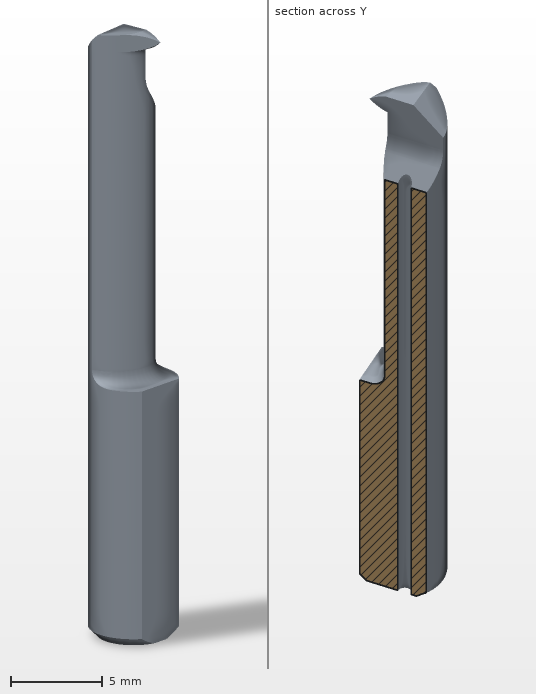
import math
import cadquery as cq

total_length = 35.0
shank_radius = 2.5
flat_x = 1.95
end_chamfer = 0.5

neck_radius = 2.3
neck_right_x = 0.87
neck_axis_x = neck_right_x - neck_radius
shoulder_z = 14.75
shoulder_fillet = 0.8

tip_height = 1.13
tip_bottom_z = total_length - tip_height
tip_x = flat_x
tip_depth = 0.53
tip_z = total_length - tip_depth
tip_radius = tip_x - neck_axis_x
land_overhang = 0.06
land_radius = neck_radius + land_overhang
flank_arc_radius = 2.5
relief_angle = 3.0

slope_start_x = -0.7
slope_drop = 1.73

rake_y = 0.0
runout_angle = math.radians(50)
runout_fillet = 1.6
runout_corner_z = 31.75

coolant_x = -0.78
coolant_y = 1.33
coolant_diameter = 0.8

clearance = 10.0


def make_shank():
    shank = cq.Workplane("XY").circle(shank_radius).extrude(total_length)
    shank = shank.faces("<Z").chamfer(end_chamfer)
    flat = cq.Workplane("XY").box(clearance, clearance, total_length, centered=(False, True, False))
    return shank.cut(flat.translate((flat_x, 0, 0)))


def flank_middle(start, end):
    """Point halfway along the bulging flank of the tip, from start to the sharp tip at end."""
    run = end[0] - start[0]
    rise = end[1] - start[1]
    chord = math.hypot(run, rise)
    bulge = flank_arc_radius - math.sqrt(flank_arc_radius**2 - chord**2 / 4)
    outward = -math.copysign(1, rise)
    return (
        (start[0] + end[0]) / 2 + bulge * abs(rise) / chord,
        (start[1] + end[1]) / 2 + outward * bulge * run / chord,
    )


def make_neck_envelope():
    """Full-width bar up to the shoulder, then the filleted neck turned around its own axis."""
    fillet_sag = shoulder_fillet * (1 - math.sqrt(0.5))
    profile = (
        cq.Workplane("XZ")
        .lineTo(clearance, 0)
        .lineTo(clearance, shoulder_z)
        .lineTo(neck_radius + shoulder_fillet, shoulder_z)
        .threePointArc(
            (neck_radius + fillet_sag, shoulder_z + fillet_sag),
            (neck_radius, shoulder_z + shoulder_fillet),
        )
        .lineTo(neck_radius, total_length)
        .lineTo(0, total_length)
        .close()
    )
    return profile.revolve(360, (0, 0, 0), (0, 1, 0)).translate((neck_axis_x, 0, 0))


def tilt_for_relief(solid, angle):
    """Tilt a solid about the top edge line of the rake face."""
    return solid.rotate((0, rake_y, total_length), (1, rake_y, total_length), angle)


def make_tip_lens():
    """Disc with a sharp rim; tilting it both ways gives both flanks relief behind the rake face."""
    lower = (neck_radius, tip_bottom_z)
    upper = (land_radius, total_length)
    rim = (tip_radius, tip_z)
    profile = (
        cq.Workplane("XZ")
        .moveTo(0, tip_bottom_z)
        .lineTo(*lower)
        .threePointArc(flank_middle(lower, rim), rim)
        .threePointArc(flank_middle(upper, rim), upper)
        .lineTo(0, total_length)
        .close()
    )
    disc = profile.revolve(360, (0, 0, 0), (0, 1, 0)).translate((neck_axis_x, 0, 0))
    return tilt_for_relief(disc, relief_angle).intersect(tilt_for_relief(disc, -relief_angle))


def make_tip():
    """Wedge in front of the neck, its front face running from the sharp corner tangent to the neck."""
    tangent_angle = math.acos(neck_radius / tip_radius)
    tangent_x = neck_axis_x + neck_radius * math.cos(tangent_angle)
    tangent_y = -neck_radius * math.sin(tangent_angle)
    wedge = (
        cq.Workplane("XY", origin=(0, 0, tip_bottom_z))
        .moveTo(neck_axis_x, rake_y)
        .lineTo(tangent_x, tangent_y)
        .lineTo(tip_x, rake_y)
        .close()
        .extrude(tip_height)
    )
    return wedge.intersect(make_tip_lens())


def make_top_cut():
    """Material above the head: level land and back slope, both falling away behind the rake face."""
    gradient = slope_drop / (slope_start_x + shank_radius)
    cutter = (
        cq.Workplane("XZ")
        .moveTo(clearance, total_length)
        .lineTo(slope_start_x, total_length)
        .lineTo(-clearance, total_length - gradient * (slope_start_x + clearance))
        .lineTo(-clearance, total_length + clearance)
        .lineTo(clearance, total_length + clearance)
        .close()
        .extrude(clearance, both=True)
    )
    return tilt_for_relief(cutter, relief_angle)


def make_rake_cut():
    runout_z = runout_corner_z - (clearance - rake_y) * math.tan(runout_angle)
    cutter = (
        cq.Workplane("YZ")
        .moveTo(rake_y, total_length)
        .lineTo(rake_y, runout_corner_z)
        .lineTo(clearance, runout_z)
        .lineTo(clearance, total_length)
        .close()
        .extrude(clearance, both=True)
    )
    corner = cq.selectors.NearestToPointSelector((0, rake_y, runout_corner_z))
    return cutter.edges("|X").edges(corner).fillet(runout_fillet)


def make_coolant_hole():
    return (
        cq.Workplane("XY")
        .center(coolant_x, coolant_y)
        .circle(coolant_diameter / 2)
        .extrude(total_length)
    )


body = make_shank().intersect(make_neck_envelope())
body = body.union(make_tip())
body = body.cut(make_top_cut())
body = body.cut(make_rake_cut())
result = body.cut(make_coolant_hole())